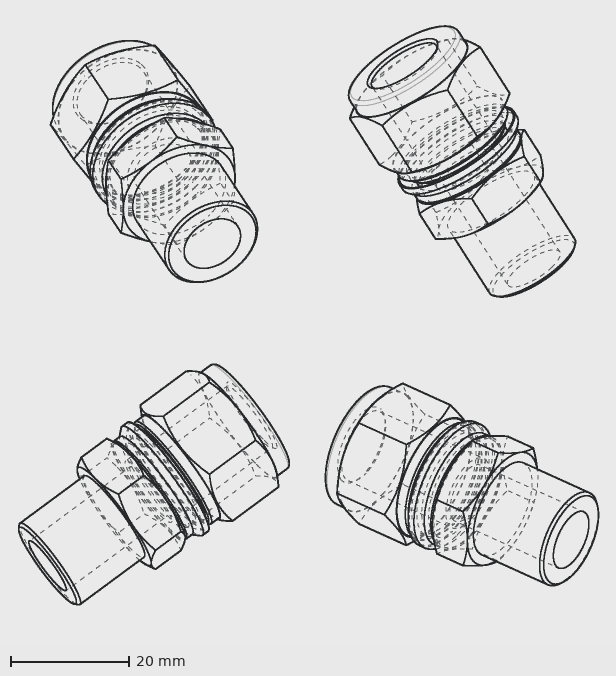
import cadquery as cq
import math

length = 43.5

nose_dia = 21.8
nose_edge = 0.6
nut_corners = 25.66
nut_hex_start = 3.0
nut_hex_end = 15.02
nut_front_chamfer_dia = 22.0
nut_rear_chamfer_dia = 21.8
skirt_dia = 21.5
skirt_end = 17.1
skirt_chamfer = 0.35

neck_dia = 18.9
neck_end = 18.15
neck_root_dia = 17.7

collar_dia = 22.95
collar_recess_dia = 22.4
collar_start = 17.85
collar_cone_start = 19.05
shoulder_dia = 20.6
shoulder_start = 20.35
shoulder_chamfer = 0.35

body_flats = 20.6
body_corners = body_flats / math.cos(math.pi / 6)
body_hex_start = 22.05
body_hex_end = 29.3
body_chamfer_dia = body_flats

pipe_dia = 17.1
pipe_chamfer = 0.5

socket_dia = 12.9
socket_depth = body_hex_start
lead_in = 0.5
bore_dia = 10.41

hex_chamfer_angle = math.radians(30)


def cylinder(dia, start, end):
    """Round bar along X between two stations."""
    return cq.Workplane("YZ", origin=(start, 0, 0)).circle(dia / 2).extrude(end - start)


def revolve_profile(points):
    """Turn an outline of (x, radius) points about the X axis."""
    return cq.Workplane("XY").polyline(points).close().revolve(360, (0, 0, 0), (1, 0, 0))


def chamfered_hexagon(across_corners, start, end, start_dia, end_dia, turn):
    """Hexagonal bar along X whose corners are turned down to a cone at each end."""
    corner_radius = across_corners / 2
    slope = math.tan(hex_chamfer_angle)
    start_run = (corner_radius - start_dia / 2) * slope
    end_run = (corner_radius - end_dia / 2) * slope
    bar = (
        cq.Workplane("YZ", origin=(start, 0, 0))
        .polygon(6, across_corners)
        .extrude(end - start)
        .rotate((0, 0, 0), (1, 0, 0), turn)
    )
    envelope = revolve_profile([
        (start, 0),
        (start, start_dia / 2),
        (start + start_run, corner_radius),
        (end - end_run, corner_radius),
        (end, end_dia / 2),
        (end, 0),
    ])
    return bar.intersect(envelope)


def make_nut():
    """Nut with its corners pointing along Y."""
    nose = cylinder(nose_dia, 0, nut_hex_start).faces("<X").edges().fillet(nose_edge)
    hexagon = chamfered_hexagon(
        nut_corners, nut_hex_start, nut_hex_end, nut_front_chamfer_dia, nut_rear_chamfer_dia, 0
    )
    skirt = cylinder(skirt_dia, nut_hex_end, skirt_end).faces(">X").edges().chamfer(skirt_chamfer)
    return nose.union(hexagon).union(skirt)


def make_collar():
    """Neck, collar and shoulder; the collar front is hollowed to a 45 degree cone around the neck."""
    recess_end = collar_start + (collar_recess_dia - neck_root_dia) / 2
    root_start = neck_end + (neck_dia - neck_root_dia) / 2
    return revolve_profile([
        (skirt_end, 0),
        (skirt_end, neck_dia / 2),
        (neck_end, neck_dia / 2),
        (root_start, neck_root_dia / 2),
        (recess_end, neck_root_dia / 2),
        (collar_start, collar_recess_dia / 2),
        (collar_start, collar_dia / 2),
        (collar_cone_start, collar_dia / 2),
        (shoulder_start, shoulder_dia / 2),
        (body_hex_start - shoulder_chamfer, shoulder_dia / 2),
        (body_hex_start, shoulder_dia / 2 - shoulder_chamfer),
        (body_hex_start, 0),
    ])


def make_body():
    """Body hexagon with its corners pointing along Z, and the weld pipe end."""
    hexagon = chamfered_hexagon(
        body_corners, body_hex_start, body_hex_end, body_chamfer_dia, body_chamfer_dia, 90
    )
    pipe = cylinder(pipe_dia, body_hex_end, length).faces(">X").edges().chamfer(pipe_chamfer)
    return hexagon.union(pipe)


def make_passage():
    """Stepped hole through the whole fitting."""
    return revolve_profile([
        (0, 0),
        (0, socket_dia / 2 + lead_in),
        (lead_in, socket_dia / 2),
        (socket_depth, socket_dia / 2),
        (socket_depth, bore_dia / 2),
        (length, bore_dia / 2),
        (length, 0),
    ])


result = make_nut().union(make_collar()).union(make_body()).cut(make_passage())